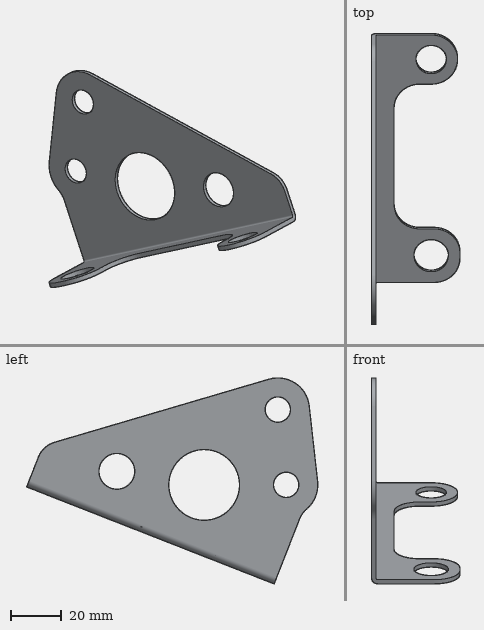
import cadquery as cq
import math

thickness = 1.8
bend_radius = 2.5
bend_length = 105.3
tilt = 21.4

plate_holes = [
    (31.0, 18.8, 7.0),
    (65.2, 26.4, 14.0),
]
upper_ear = (81.5, 64.8)
lower_ear = (95.4, 38.3)
ear_hole_radius = 5.0
ear_radius = 12.6
top_edge_angle = 37.8
plate_fillet = 10.0

lug_reach = 23.6
web_width = 9.0
web_fillet = 10.0
near_lug_radius = 10.5
near_bore_radius = 6.0
far_lug_half_width = 11.4
far_lug_fillet = 10.3
far_bore_radius = 6.8


def polar(center, radius, degrees):
    """Point on a circle at the given direction."""
    angle = math.radians(degrees)
    return (center[0] + radius * math.cos(angle), center[1] + radius * math.sin(angle))


def make_plate():
    """Upright plate with two rounded ears, starting where the bend ends."""
    top_normal = top_edge_angle + 90
    side_angle = math.degrees(
        math.atan2(upper_ear[1] - lower_ear[1], upper_ear[0] - lower_ear[0])
    )
    side_normal = side_angle - 90

    top_tangent = polar(upper_ear, ear_radius, top_normal)
    corner_v = top_tangent[1] - top_tangent[0] * math.tan(math.radians(top_edge_angle))

    neck_u = bend_length + plate_fillet
    center_distance = ear_radius + plate_fillet
    neck_drop = math.sqrt(center_distance**2 - (neck_u - lower_ear[0]) ** 2)
    neck_center = (neck_u, lower_ear[1] - neck_drop)
    neck_angle = math.degrees(math.atan2(-neck_drop, neck_u - lower_ear[0]))
    neck_middle_angle = 180 + neck_angle / 2

    plate = (
        cq.Workplane("XY")
        .moveTo(0, bend_radius)
        .lineTo(0, corner_v)
        .lineTo(*top_tangent)
        .threePointArc(
            polar(upper_ear, ear_radius, (top_normal + side_normal) / 2),
            polar(upper_ear, ear_radius, side_normal),
        )
        .lineTo(*polar(lower_ear, ear_radius, side_normal))
        .threePointArc(
            polar(lower_ear, ear_radius, (side_normal + neck_angle) / 2),
            polar(lower_ear, ear_radius, neck_angle),
        )
        .threePointArc(
            polar(neck_center, plate_fillet, neck_middle_angle),
            (bend_length, neck_center[1]),
        )
        .lineTo(bend_length, bend_radius)
        .close()
        .extrude(thickness)
    )
    corner = cq.selectors.NearestToPointSelector((0, corner_v, thickness / 2))
    plate = plate.edges(corner).fillet(plate_fillet)

    ear_holes = [(u, v, ear_hole_radius) for u, v in (upper_ear, lower_ear)]
    for u, v, radius in plate_holes + ear_holes:
        plate = plate.cut(cq.Workplane("XY").center(u, v).circle(radius).extrude(thickness))
    return plate


def make_bend():
    """Quarter-round strip between the plate and the flange."""
    inner_radius = bend_radius - thickness
    ring = (
        cq.Workplane("YZ")
        .center(bend_radius, bend_radius)
        .circle(bend_radius)
        .circle(inner_radius)
        .extrude(bend_length)
    )
    quarter = cq.Workplane("XY").box(bend_length, bend_radius, bend_radius, centered=False)
    return ring.intersect(quarter)


def make_flange():
    """Flat flange, with a rounded and bored lug at each end."""
    near_inner = 2 * near_lug_radius
    far_inner = bend_length - 2 * far_lug_half_width
    far_center = bend_length - far_lug_half_width
    far_tip = lug_reach + far_lug_half_width

    plane = cq.Plane(origin=(0, 0, 0), xDir=(1, 0, 0), normal=(0, -1, 0))
    flange = (
        cq.Workplane(plane)
        .moveTo(0, bend_radius)
        .lineTo(0, lug_reach)
        .threePointArc((near_lug_radius, lug_reach + near_lug_radius), (near_inner, lug_reach))
        .lineTo(near_inner, web_width)
        .lineTo(far_inner, web_width)
        .lineTo(far_inner, far_tip)
        .lineTo(bend_length, far_tip)
        .lineTo(bend_length, bend_radius)
        .close()
        .extrude(-thickness)
    )
    corners = [
        (near_inner, web_width, web_fillet),
        (far_inner, web_width, web_fillet),
        (far_inner, far_tip, far_lug_fillet),
        (bend_length, far_tip, far_lug_fillet),
    ]
    for u, reach, radius in corners:
        corner = cq.selectors.NearestToPointSelector((u, thickness / 2, reach))
        flange = flange.edges(corner).fillet(radius)

    bores = [(near_lug_radius, near_bore_radius), (far_center, far_bore_radius)]
    for u, radius in bores:
        bore = cq.Workplane(plane).center(u, lug_reach).circle(radius).extrude(-thickness)
        flange = flange.cut(bore)
    return flange


bracket = make_plate().union(make_bend()).union(make_flange())

result = (
    bracket.rotate((0, 0, 0), (0, 0, 1), -tilt)
    .rotate((0, 0, 0), (1, 0, 0), 90)
    .rotate((0, 0, 0), (0, 0, 1), -90)
    .mirror("YZ")
)